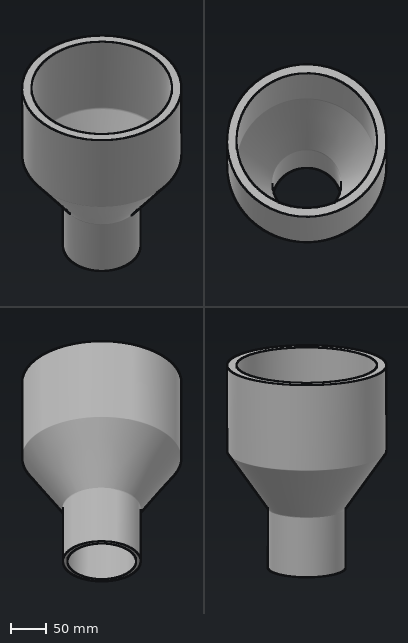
import cadquery as cq

LARGE_DIAMETER = 225.0
LARGE_WALL = 13.4
SMALL_DIAMETER = 110.0
SMALL_WALL = 6.6

TOTAL_HEIGHT = 295.0
SPIGOT_HEIGHT = 87.0
SOCKET_HEIGHT = 125.0
SOCKET_BASE = TOTAL_HEIGHT - SOCKET_HEIGHT

OUTER_BLEND_RADIUS = 2.0
INNER_BLEND_RADIUS = 5.0


def is_cone_end(edge):
    """True for the circles at either end of the cone."""
    return 0 < edge.Center().z < TOTAL_HEIGHT


def funnel(large_radius, small_radius, blend_radius):
    """Solid cylinder, cone and cylinder stacked along Z, with the cone ends rounded."""
    body = (
        cq.Workplane("XZ")
        .lineTo(small_radius, 0)
        .lineTo(small_radius, SPIGOT_HEIGHT)
        .lineTo(large_radius, SOCKET_BASE)
        .lineTo(large_radius, TOTAL_HEIGHT)
        .lineTo(0, TOTAL_HEIGHT)
        .close()
        .revolve(360, (0, 0, 0), (0, 1, 0))
    )
    return body.edges("%CIRCLE").filter(is_cone_end).fillet(blend_radius)


large_outer_radius = LARGE_DIAMETER / 2
small_outer_radius = SMALL_DIAMETER / 2

outside = funnel(large_outer_radius, small_outer_radius, OUTER_BLEND_RADIUS)
bore = funnel(large_outer_radius - LARGE_WALL, small_outer_radius - SMALL_WALL, INNER_BLEND_RADIUS)

result = outside.cut(bore)